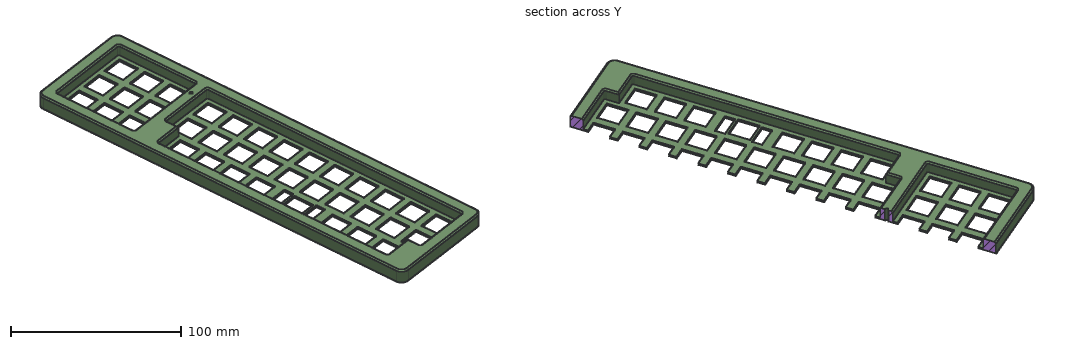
import cadquery as cq

case_length = 275.2
case_width = 75.0
case_height = 9.0
case_corner_radius = 5.0
edge_chamfer = 1.0

main_field_length = 190.5
main_block_columns = 10
key_pitch = main_field_length / main_block_columns
key_opening = 14.0
row_count = 3
plate_thickness = 1.5

number_block_columns = 3
block_gap = key_pitch / 2
layout_length = (number_block_columns + main_block_columns) * key_pitch + block_gap
number_block_start = (key_pitch - layout_length) / 2
main_block_start = number_block_start + number_block_columns * key_pitch + block_gap

bottom_row = row_count - 1
bottom_row_start = main_block_start + key_pitch / 2
bottom_row_length_in_keys = main_block_columns - 1
keys_before_wide_key = 4
keys_after_wide_key = 3

pocket_margin = 0.5
pocket_corner_radius = 1.0
pocket_depth = case_height - plate_thickness

stabilizer_width = 6.5
stabilizer_length = 14.3
stabilizer_spacing = 24.0
stabilizer_rise = 0.8

reset_hole_diameter = 2.0
reset_hole_x = -67.0
reset_hole_y = 19.5


def row_y(row):
    """Y of a key row, the rear row being row 0."""
    return ((row_count - 1) / 2 - row) * key_pitch


def key_block(first_x, columns, first_row, rows):
    """Pocket volume around a block of keys, rows counted from the rear."""
    length = columns * key_pitch + 2 * pocket_margin
    width = rows * key_pitch + 2 * pocket_margin
    center_x = first_x + (columns - 1) * key_pitch / 2
    center_y = row_y(first_row) - (rows - 1) * key_pitch / 2
    return (
        cq.Workplane("XY", origin=(center_x, center_y, plate_thickness))
        .rect(length, width)
        .extrude(pocket_depth)
        .edges("|Z")
        .fillet(pocket_corner_radius)
    )


def row_points(first_x, columns, row):
    """Key centres along one row."""
    return [(first_x + column * key_pitch, row_y(row)) for column in range(columns)]


def openings(points, length, width):
    """Rectangular cutters through the key plate."""
    return cq.Workplane("XY").pushPoints(points).rect(length, width).extrude(case_height)


key_points = []
for row in range(row_count):
    key_points += row_points(number_block_start, number_block_columns, row)
for row in range(row_count - 1):
    key_points += row_points(main_block_start, main_block_columns, row)

wide_key_x = bottom_row_start + (keys_before_wide_key + 0.5) * key_pitch
after_wide_key_x = wide_key_x + 1.5 * key_pitch
key_points += row_points(bottom_row_start, keys_before_wide_key, bottom_row)
key_points += [(wide_key_x, row_y(bottom_row))]
key_points += row_points(after_wide_key_x, keys_after_wide_key, bottom_row)

stabilizer_points = [
    (wide_key_x + side * stabilizer_spacing / 2, row_y(bottom_row) + stabilizer_rise)
    for side in (-1, 1)
]

case = (
    cq.Workplane("XY")
    .box(case_length, case_width, case_height, centered=(True, True, False))
    .edges("|Z")
    .fillet(case_corner_radius)
)

number_pocket = key_block(number_block_start, number_block_columns, 0, row_count)
main_pocket = key_block(main_block_start, main_block_columns, 0, row_count - 1).union(
    key_block(bottom_row_start, bottom_row_length_in_keys, bottom_row, 1)
)

case = case.cut(number_pocket).cut(main_pocket)
case = case.faces(">Z").edges().chamfer(edge_chamfer)

reset_hole = (
    cq.Workplane("XY")
    .center(reset_hole_x, reset_hole_y)
    .circle(reset_hole_diameter / 2)
    .extrude(case_height)
)

result = (
    case.cut(openings(key_points, key_opening, key_opening))
    .cut(openings(stabilizer_points, stabilizer_width, stabilizer_length))
    .cut(reset_hole)
)